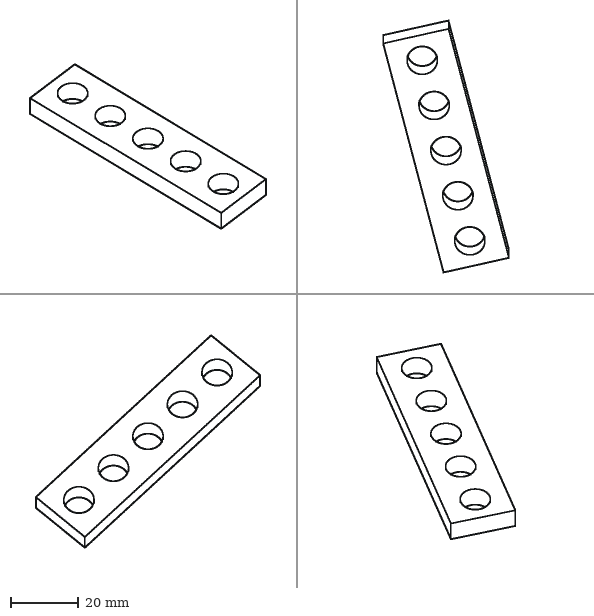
import cadquery as cq

length = 76.0
width = 20.0
thickness = 6.4

hole_count = 5
hole_diameter = 9.0
hole_pitch = 15.0

bar = cq.Workplane("XY").box(length, width, thickness)

result = (
    bar.faces(">Z")
    .workplane()
    .rarray(hole_pitch, 0.75, hole_count, 1)
    .hole(hole_diameter)
)